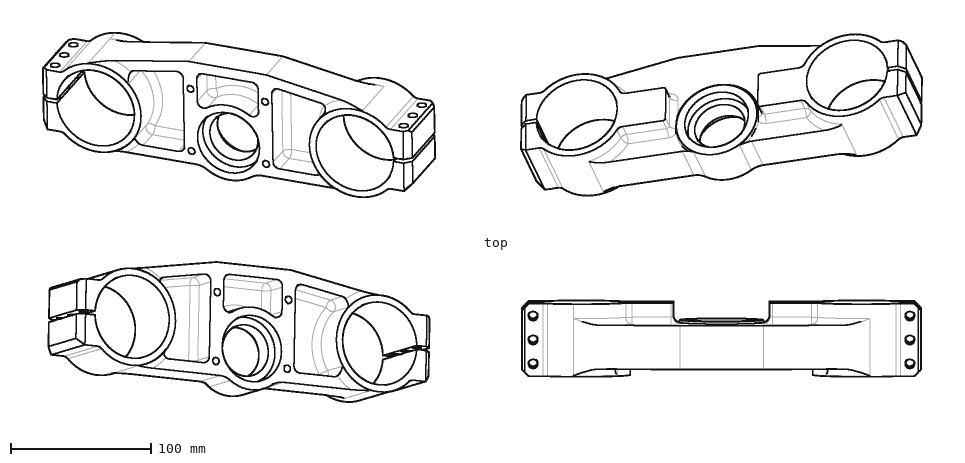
import cadquery as cq
import math

TILT_ANGLE = 2.4
OVERALL_LENGTH = 285.0
BLEND = 4.8

TUBE_X = 100.0
TUBE_RADIUS = 35.0
TUBE_DEPTH = 52.0
FORK_BORE_DIAMETER = 59.8

PLATE_FRONT = 5.7
PLATE_DEPTH = 31.4
PLATE_BACK = PLATE_FRONT + PLATE_DEPTH
PLATE_TOP = 47.3
PLATE_BOTTOM = -34.5
PLATE_TOP_HALF_WIDTH = 30.0

STEM_Z = -12.5
STEM_BOSS_RADIUS = 30.0
STEM_BOSS_RISE = 1.7
STEM_BOSS_BACK = PLATE_BACK + STEM_BOSS_RISE
STEM_BOSS_FOOT = 1.0
STEM_OUTLINE_BLEND = 15.0
STEM_BORE_DIAMETER = 37.0
FRONT_SEAT_DIAMETER = 48.0
BACK_SEAT_DIAMETER = 47.0
FRONT_SEAT_DEPTH = 10.0
BACK_SEAT_DEPTH = 8.5

EAR_END = OVERALL_LENGTH / 2
EAR_HALF_HEIGHT = 24.0
EAR_CHAMFER = 4.8
EAR_TOP_CHAMFER = 2.0
SLIT_HEIGHT = 2.8
BOLT_X = 134.5
BOLT_SPACING = 17.0
BOLT_DIAMETER = 6.5
BOLT_COUNT = 3
BOLT_DEPTH = 40.0

POCKET_DEPTH = 22.8
POCKET_FLOOR = PLATE_FRONT + POCKET_DEPTH
POCKET_WALL = 8.0
SIDE_POCKET_INNER_X = 34.2
SIDE_POCKET_BOTTOM = -26.5
CENTRE_POCKET_HALF_WIDTH = 23.7

SMALL_HOLE_DIAMETER = 5.0
SMALL_HOLE_DEPTH = 14.2
SMALL_HOLE_SPACING_X = 57.5
SMALL_HOLE_SPACING_Z = 50.0
SMALL_HOLE_MID_Z = 0.5
DRILL_POINT_ANGLE = 118.0

STOP_INNER_X = 34.2
STOP_TOP = 12.5
STOP_HEIGHT = 28.5
STOP_EDGE_ROUND = 2.0

SLAB_SIZE = 171.0

MARGIN = 0.3

SLOPE_RUN = TUBE_X - PLATE_TOP_HALF_WIDTH
SLOPE = math.atan2(PLATE_TOP, SLOPE_RUN) - math.asin(TUBE_RADIUS / math.hypot(SLOPE_RUN, PLATE_TOP))


def facing_front(y):
    """Workplane at depth y with local axes X and Z; a negative extrusion goes back along +Y."""
    return cq.Workplane("XZ", origin=(0, y, 0))


def cylinder(x, z, radius, front, back):
    return facing_front(front).center(x, z).circle(radius).extrude(front - back)


def block(x_range, y_range, z_range):
    starts, ends = zip(x_range, y_range, z_range)
    sizes = [end - start for start, end in zip(starts, ends)]
    return cq.Workplane("XY").box(*sizes, centered=False).translate(starts)


def both_sides(half):
    return half.union(half.mirror("YZ"))


def tube():
    return cylinder(TUBE_X, 0, TUBE_RADIUS, 0, TUBE_DEPTH)


def plate_outline():
    """Outline of the plate seen along Y, extruded over the full tube depth."""
    tangent_x = TUBE_X + TUBE_RADIUS * math.sin(SLOPE)
    tangent_z = TUBE_RADIUS * math.cos(SLOPE)
    half_outline = [
        (0, PLATE_TOP),
        (PLATE_TOP_HALF_WIDTH, PLATE_TOP),
        (tangent_x, tangent_z),
        (TUBE_X, 0),
        (TUBE_X, PLATE_BOTTOM),
        (0, PLATE_BOTTOM),
    ]
    half = facing_front(0).polyline(half_outline).close().extrude(-TUBE_DEPTH)
    bulge = cylinder(0, STEM_Z, STEM_BOSS_RADIUS, 0, TUBE_DEPTH)
    corner_x = math.sqrt(STEM_BOSS_RADIUS**2 - (STEM_Z - PLATE_BOTTOM) ** 2)
    corners = cq.selectors.BoxSelector(
        (-corner_x - MARGIN, -MARGIN, PLATE_BOTTOM - MARGIN),
        (corner_x + MARGIN, TUBE_DEPTH + MARGIN, PLATE_BOTTOM + MARGIN),
    )
    return both_sides(half).union(bulge).edges("|Y").edges(corners).fillet(STEM_OUTLINE_BLEND)


def tube_with_stop():
    """Fork tube with the steering stop that grows out of its inner side."""
    stop = block(
        (STOP_INNER_X, TUBE_X),
        (PLATE_FRONT, TUBE_DEPTH),
        (STOP_TOP - STOP_HEIGHT, STOP_TOP),
    )
    stop = stop.edges("|Y and <X").fillet(STOP_EDGE_ROUND)
    meeting_lines = cq.selectors.BoxSelector(
        (TUBE_X - TUBE_RADIUS - MARGIN, 0, STOP_TOP - STOP_HEIGHT - MARGIN),
        (TUBE_X - TUBE_RADIUS / 2, TUBE_DEPTH, STOP_TOP + MARGIN),
    )
    return tube().union(stop).edges("|Y").edges(meeting_lines).fillet(BLEND)


def fillet_at_depth(body, y, radius):
    """Fillet the edges at depth y that lie inside the overall length."""
    inside = cq.selectors.BoxSelector(
        (-EAR_END, y - MARGIN, -EAR_END / 2),
        (EAR_END, y + MARGIN, EAR_END / 2),
    )
    return body.edges(inside).fillet(radius)


def blended_plate():
    """Plate with tubes, stops and stem boss, blended on an oversized slab, then trimmed."""
    slab = block((-SLAB_SIZE, SLAB_SIZE), (PLATE_FRONT, PLATE_BACK), (-SLAB_SIZE, SLAB_SIZE))
    behind_front = block((0, SLAB_SIZE), (PLATE_FRONT, TUBE_DEPTH), (-SLAB_SIZE, SLAB_SIZE))
    body = slab.union(both_sides(tube())).union(both_sides(tube_with_stop().intersect(behind_front)))
    body = fillet_at_depth(body, PLATE_FRONT, BLEND)
    body = fillet_at_depth(body, PLATE_BACK, BLEND)
    boss = slab.union(cylinder(0, STEM_Z, STEM_BOSS_RADIUS, PLATE_FRONT, STEM_BOSS_BACK))
    boss = fillet_at_depth(boss, PLATE_BACK, STEM_BOSS_FOOT)
    return body.union(boss).intersect(plate_outline())


def clamp_end():
    """Outer end of one side: the full tube with its clamp ear."""
    ear = block((TUBE_X, EAR_END), (0, TUBE_DEPTH), (-EAR_HALF_HEIGHT, EAR_HALF_HEIGHT))
    ear = ear.edges(">X and (not >Z)").chamfer(EAR_CHAMFER)
    ear = ear.faces(">Z").edges(">X").chamfer(EAR_TOP_CHAMFER)
    meeting_lines = cq.selectors.BoxSelector(
        (TUBE_X + TUBE_RADIUS / 2, -MARGIN, -TUBE_RADIUS),
        (TUBE_X + TUBE_RADIUS, TUBE_DEPTH + MARGIN, TUBE_RADIUS),
    )
    return tube().union(ear).edges("|Y").edges(meeting_lines).fillet(BLEND)


def round_pocket(pocket):
    """Round the corners of a pocket and the rim of its floor."""
    return pocket.edges("|Y").fillet(BLEND).faces(">Y").edges().fillet(BLEND)


def side_pocket():
    """Pocket beside a tube: its top follows the sloped plate top, its outer wall the tube."""

    def top(x):
        drop = (x - PLATE_TOP_HALF_WIDTH) * math.tan(SLOPE)
        return PLATE_TOP - drop - POCKET_WALL / math.cos(SLOPE)

    outline = [
        (SIDE_POCKET_INNER_X, SIDE_POCKET_BOTTOM),
        (SIDE_POCKET_INNER_X, top(SIDE_POCKET_INNER_X)),
        (TUBE_X, top(TUBE_X)),
        (TUBE_X, SIDE_POCKET_BOTTOM),
    ]
    pocket = facing_front(0).polyline(outline).close().extrude(-POCKET_FLOOR)
    return round_pocket(pocket.cut(tube()))


def centre_pocket():
    """Pocket above the stem boss, its bottom wall following the boss."""
    pocket = block(
        (-CENTRE_POCKET_HALF_WIDTH, CENTRE_POCKET_HALF_WIDTH),
        (0, POCKET_FLOOR),
        (STEM_Z + STEM_BOSS_RADIUS / 2, PLATE_TOP - POCKET_WALL),
    )
    return round_pocket(pocket.cut(cylinder(0, STEM_Z, STEM_BOSS_RADIUS, 0, TUBE_DEPTH)))


def stem_bore():
    """Stepped bore: a bearing seat at each end of a narrower middle."""
    bore = cylinder(0, STEM_Z, STEM_BORE_DIAMETER / 2, PLATE_FRONT, STEM_BOSS_BACK)
    front_seat = cylinder(0, STEM_Z, FRONT_SEAT_DIAMETER / 2, PLATE_FRONT, PLATE_FRONT + FRONT_SEAT_DEPTH)
    back_seat = cylinder(0, STEM_Z, BACK_SEAT_DIAMETER / 2, STEM_BOSS_BACK - BACK_SEAT_DEPTH, STEM_BOSS_BACK)
    return bore.union(front_seat).union(back_seat)


def drilled_hole(diameter, depth):
    """Blind hole going down from the origin, with a conical drill point below its depth."""
    radius = diameter / 2
    tip = depth + radius / math.tan(math.radians(DRILL_POINT_ANGLE / 2))
    profile = [(0, 0), (radius, 0), (radius, -depth), (0, -tip)]
    return cq.Workplane("XZ").polyline(profile).close().revolve(360, (0, 0, 0), (0, 1, 0))


def small_holes():
    hole = drilled_hole(SMALL_HOLE_DIAMETER, SMALL_HOLE_DEPTH)
    return (
        facing_front(PLATE_FRONT)
        .center(0, SMALL_HOLE_MID_Z)
        .rarray(SMALL_HOLE_SPACING_X, SMALL_HOLE_SPACING_Z, 2, 2)
        .eachpoint(hole, useLocalCoordinates=True)
    )


def clamp_cuts():
    """Fork bore, slit and vertical bolt holes of one side."""
    bore = cylinder(TUBE_X, 0, FORK_BORE_DIAMETER / 2, 0, TUBE_DEPTH)
    slit = block((TUBE_X, EAR_END), (0, TUBE_DEPTH), (-SLIT_HEIGHT / 2, SLIT_HEIGHT / 2))
    bolts = (
        cq.Workplane("XY", origin=(BOLT_X, TUBE_DEPTH / 2, EAR_HALF_HEIGHT))
        .rarray(2.8, BOLT_SPACING, 1, BOLT_COUNT)
        .eachpoint(drilled_hole(BOLT_DIAMETER, BOLT_DEPTH))
    )
    return bore.union(slit).union(bolts)


clamp = blended_plate().union(both_sides(clamp_end()))
for cutter in (side_pocket(), clamp_cuts()):
    clamp = clamp.cut(cutter).cut(cutter.mirror("YZ"))
for cutter in (centre_pocket(), stem_bore(), small_holes()):
    clamp = clamp.cut(cutter)

result = clamp.rotate((0, 0, 0), (1, 0, 0), TILT_ANGLE)